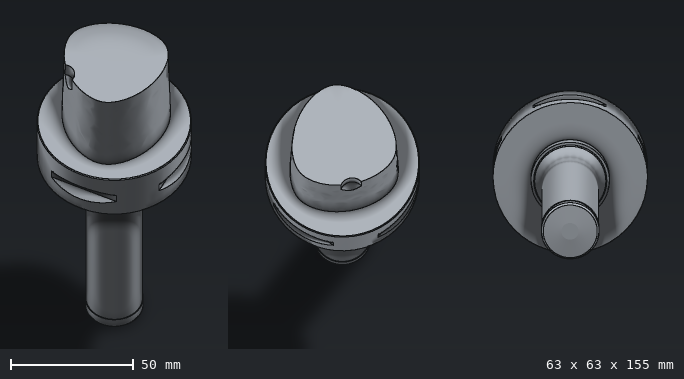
import cadquery as cq
import math

SHANK_TOP = 38.0
SHANK_COLLAR_TOP = 3.4
FLANGE_BOTTOM = -21.6
NECK_BOTTOM = -26.5
SEAT_CHAMFER_BOTTOM = -27.3
FLARE_TOP = -28.4
FLARE_BOTTOM = -40.9
TIP_TOP = -111.4
TIP_BAND_BOTTOM = -115.6
TIP_CHAMFER_BOTTOM = -116.6
TIP_BOTTOM = -117.0

POLYGON_RADIUS = 22.1
POLYGON_ECCENTRICITY = 1.4
TAPER_RATIO = 1 / 20
POLYGON_POINTS = 48

FLANGE_DIAMETER = 63.0
FLANGE_CHAMFER = 0.4
GROOVE_COUNT = 4
GROOVE_FIRST_ANGLE = 45.0
GROOVE_FLOOR_DISTANCE = 27.8
GROOVE_FLOOR_WIDTH = 3.6
GROOVE_FLANK_ANGLE = 30.0
GROOVE_CENTRE_Z = -11.9

NOTCH_RADIUS = 5.0
NOTCH_AXIS_Y = -22.3
NOTCH_DEPTH = 6.2

NECK_DIAMETER = 32.0
SEAT_DIAMETER = 29.8
FLARE_DIAMETER = 29.0
BAR_DIAMETER = 23.1
FLARE_ANGLE = 16.5

TIP_DIAMETER = 23.6
TIP_CHAMFER_DIAMETER = 22.0
TIP_FACE_DIAMETER = 7.0


def polygon_point(mean_radius, angle):
    """Point of the constant-width curve, one lobe toward +Y (support = R + e * cos(3 * angle))."""
    support = mean_radius + POLYGON_ECCENTRICITY * math.cos(3 * angle)
    slope = -3 * POLYGON_ECCENTRICITY * math.sin(3 * angle)
    x = support * math.sin(angle) + slope * math.cos(angle)
    y = support * math.cos(angle) - slope * math.sin(angle)
    return x, y


def polygon_wire(mean_radius, z):
    """Closed smooth wire of the polygonal curve at height z."""
    step = 2 * math.pi / POLYGON_POINTS
    points = [cq.Vector(*polygon_point(mean_radius, i * step), z) for i in range(POLYGON_POINTS)]
    return cq.Wire.assembleEdges([cq.Edge.makeSpline(points, periodic=True)])


def polygon_prism(bottom_radius, top_radius, bottom_z, top_z):
    """Straight-sided solid between two polygonal sections."""
    sections = [polygon_wire(bottom_radius, bottom_z), polygon_wire(top_radius, top_z)]
    return cq.Workplane(cq.Solid.makeLoft(sections, True))


def make_shank():
    """Tapered polygonal shank standing on a short straight collar."""
    top_radius = POLYGON_RADIUS - (SHANK_TOP - SHANK_COLLAR_TOP) * TAPER_RATIO / 2
    collar = polygon_prism(POLYGON_RADIUS, POLYGON_RADIUS, 0, SHANK_COLLAR_TOP)
    taper = polygon_prism(POLYGON_RADIUS, top_radius, SHANK_COLLAR_TOP, SHANK_TOP)
    return collar.union(taper).cut(make_notch())


def make_notch():
    """Upright round cutter with a 45 degree conical end, open to the top and to -Y."""
    straight_bottom = SHANK_TOP - NOTCH_DEPTH
    return (
        cq.Workplane("XZ")
        .moveTo(0, straight_bottom - NOTCH_RADIUS)
        .lineTo(NOTCH_RADIUS, straight_bottom)
        .lineTo(NOTCH_RADIUS, SHANK_TOP)
        .lineTo(0, SHANK_TOP)
        .close()
        .revolve(360, (0, 0), (0, 1))
        .translate((0, NOTCH_AXIS_Y, 0))
    )


def make_groove_cutter():
    """Trapezoidal groove along Y on the +X side: flat floor with flanks opening outward."""
    rim_distance = FLANGE_DIAMETER / 2
    depth = rim_distance - GROOVE_FLOOR_DISTANCE
    floor_half = GROOVE_FLOOR_WIDTH / 2
    rim_half = floor_half + depth * math.tan(math.radians(GROOVE_FLANK_ANGLE))
    return (
        cq.Workplane("XZ")
        .polyline([
            (GROOVE_FLOOR_DISTANCE, GROOVE_CENTRE_Z - floor_half),
            (rim_distance, GROOVE_CENTRE_Z - rim_half),
            (rim_distance, GROOVE_CENTRE_Z + rim_half),
            (GROOVE_FLOOR_DISTANCE, GROOVE_CENTRE_Z + floor_half),
        ])
        .close()
        .extrude(rim_distance, both=True)
    )


def make_flange():
    """Round flange with a chamfered top rim and gripper grooves on the diagonals."""
    flange = (
        cq.Workplane("XY")
        .workplane(offset=FLANGE_BOTTOM)
        .circle(FLANGE_DIAMETER / 2)
        .extrude(-FLANGE_BOTTOM)
        .faces(">Z")
        .chamfer(FLANGE_CHAMFER)
    )
    cutter = make_groove_cutter()
    for i in range(GROOVE_COUNT):
        angle = GROOVE_FIRST_ANGLE + i * 360 / GROOVE_COUNT
        flange = flange.cut(cutter.rotate((0, 0, 0), (0, 0, 1), angle))
    return flange


def make_bar():
    """Neck, seat and a smooth flare that runs tangentially into the straight bar."""
    bar_radius = BAR_DIAMETER / 2
    flare_radius = FLARE_DIAMETER / 2
    flare_angle = math.radians(FLARE_ANGLE)
    flare_start_direction = (-math.sin(flare_angle), -math.cos(flare_angle))
    bar_direction = (0, -1)

    return (
        cq.Workplane("XZ")
        .moveTo(0, FLANGE_BOTTOM)
        .lineTo(NECK_DIAMETER / 2, FLANGE_BOTTOM)
        .lineTo(NECK_DIAMETER / 2, NECK_BOTTOM)
        .lineTo(SEAT_DIAMETER / 2, NECK_BOTTOM)
        .lineTo(flare_radius, SEAT_CHAMFER_BOTTOM)
        .lineTo(flare_radius, FLARE_TOP)
        .spline(
            [(bar_radius, FLARE_BOTTOM)],
            tangents=[flare_start_direction, bar_direction],
            includeCurrent=True,
        )
        .lineTo(bar_radius, TIP_TOP)
        .lineTo(0, TIP_TOP)
        .close()
        .revolve(360, (0, 0), (0, 1))
    )


def make_holder():
    """Shank, flange and bar as one body."""
    return make_flange().union(make_shank()).union(make_bar())


def make_tip():
    """Slightly wider end piece: round band, chamfer and a shallow conical end."""
    return (
        cq.Workplane("XZ")
        .moveTo(0, TIP_TOP)
        .lineTo(TIP_DIAMETER / 2, TIP_TOP)
        .lineTo(TIP_DIAMETER / 2, TIP_BAND_BOTTOM)
        .lineTo(TIP_CHAMFER_DIAMETER / 2, TIP_CHAMFER_BOTTOM)
        .lineTo(TIP_FACE_DIAMETER / 2, TIP_BOTTOM)
        .lineTo(0, TIP_BOTTOM)
        .close()
        .revolve(360, (0, 0), (0, 1))
    )


holder = make_holder()
tip = make_tip()
result = cq.Compound.makeCompound([holder.val(), tip.val()])